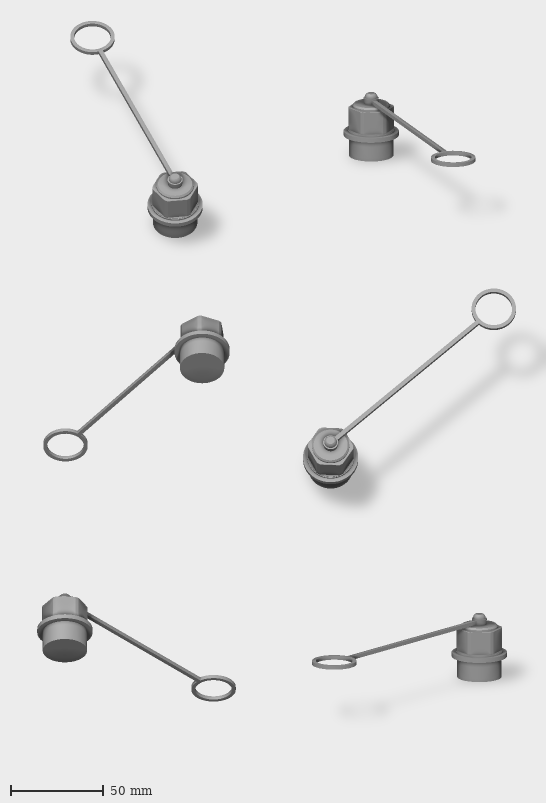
import cadquery as cq
import math

skirt_radius = 12.0
flange_radius = 15.0
flange_bottom = 11.5
flange_top = 14.0
collar_radius = 12.8
collar_top = 14.8
crown_radius = 10.1
crown_bottom = 27.6
crown_top = 29.4
crown_chamfer = 0.9

grip_radius = 12.3
flat_count = 6
flat_distance = 11.2
flat_bottom = 15.1
first_flat_angle = 45
grip_edge_chamfer = 0.1

post_base_radius = 3.8
post_top_radius = 4.1
post_top = 32.6
head_radius = 3.4
dome_mid_radius = 3.1
dome_mid_height = 34.2
stud_top_radius = 2.2
stud_top = 35.1

total_length = 147
ring_outer_radius = 12.0
ring_inner_radius = 10.0
strap_width = 2.4
strap_bottom = 30.0
strap_thickness = 2.0
ring_center_x = -(total_length - flange_radius - ring_outer_radius)


def disc(radius, bottom, top):
    """Upright cylinder on the cap axis."""
    return cq.Workplane("XY").workplane(offset=bottom).circle(radius).extrude(top - bottom)


def make_grip():
    """Round grip with flats that stop just above the collar and a broken top edge."""
    grip = disc(grip_radius, collar_top, crown_bottom)
    inner_hexagon = (
        cq.Workplane("XY")
        .workplane(offset=flat_bottom)
        .polygon(flat_count, 2 * flat_distance / math.cos(math.pi / flat_count))
        .extrude(crown_bottom - flat_bottom)
        .rotate((0, 0, 0), (0, 0, 1), first_flat_angle - 180 / flat_count)
    )
    trimmings = disc(2 * grip_radius, flat_bottom, crown_bottom).cut(inner_hexagon)
    return grip.cut(trimmings).faces(">Z").chamfer(grip_edge_chamfer)


def make_cap():
    """Skirt, flange, collar, grip and crown stacked on one axis."""
    skirt = disc(skirt_radius, 0, flange_bottom)
    flange = disc(flange_radius, flange_bottom, flange_top)
    collar = disc(collar_radius, flange_top, collar_top)
    crown = disc(crown_radius, crown_bottom, crown_top).faces(">Z").chamfer(crown_chamfer)
    return skirt.union(flange).union(collar).union(make_grip()).union(crown)


def make_stud():
    """Flared post with a domed head, revolved about the cap axis."""
    return (
        cq.Workplane("XZ")
        .moveTo(0, crown_top)
        .lineTo(post_base_radius, crown_top)
        .lineTo(post_top_radius, post_top)
        .lineTo(head_radius, post_top)
        .threePointArc((dome_mid_radius, dome_mid_height), (stud_top_radius, stud_top))
        .lineTo(0, stud_top)
        .close()
        .revolve()
    )


def make_strap():
    """Flat band running from the stud to the retaining ring."""
    plane = cq.Workplane("XY").workplane(offset=strap_bottom)
    band_start = ring_center_x + (ring_inner_radius + ring_outer_radius) / 2
    band = plane.center(band_start / 2, 0).rect(-band_start, strap_width).extrude(strap_thickness)
    ring = (
        cq.Workplane("XY")
        .workplane(offset=strap_bottom)
        .center(ring_center_x, 0)
        .circle(ring_outer_radius)
        .circle(ring_inner_radius)
        .extrude(strap_thickness)
    )
    return band.union(ring)


result = make_cap().union(make_stud()).union(make_strap())